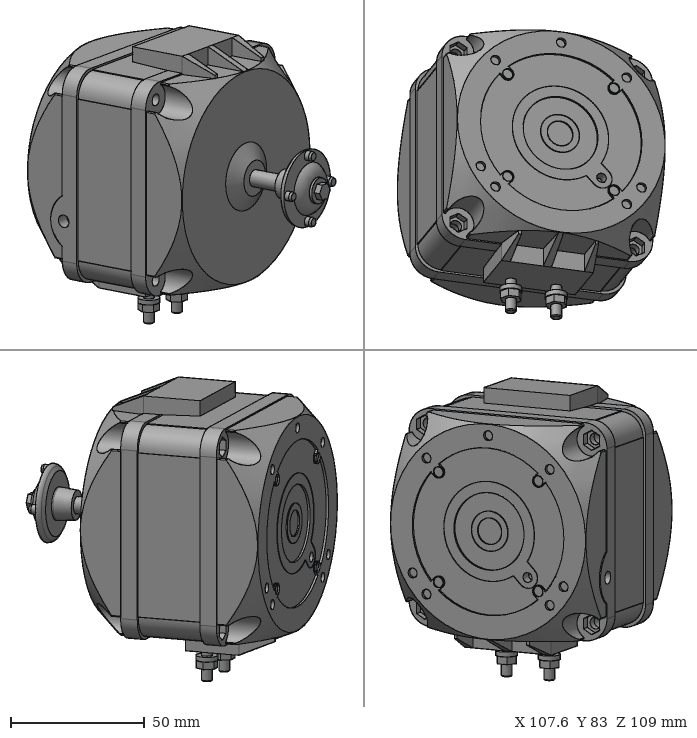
import cadquery as cq
import math


motor_length = 71.3
cap_half = 41.0
flange_half = 83.0 / 2
flange_corner_radius = 9.2
flange_start = 16.5
flange_width = 6.6
cap_length = flange_start + flange_width
stator_half = 40.8
stator_corner_step = 0.3
stator_flat_half = 31.4
end_face_radius = 40.9
bevel_slope = 0.86
overlap = 1.1

bolt_offset = 35.0
bolt_hole_radius = 4.5 / 2
scallop_radius = 12.1 / 2
corner_relief_start = 31.9
corner_relief_chamfer = 0.4
nut_pocket_flats = 6.6
nut_pocket_depth = 3.3

cover_half_width = 18.1
cover_height = 48.1
cover_tip_height = 42.2
rear_cover_length = 21.6
front_cover_length = 22.8
rear_outer_rib_inside = 14.6
rear_middle_rib_root = 1.6
rear_middle_rib_tip = 1.0
front_outer_rib_inside = 14.0
front_middle_rib = 1.5
outer_rib_end = 3.2
outer_rib_end_half = 15.7

stud_x = 32.9
stud_offset = 8.9
stud_radius = 2.1
stud_chamfer = 0.4
stud_tip = 60.9
washer_top = 51.1
nut_top = 53.0
nut_bottom = 55.9
washer_radius = 4.1
nut_flats = 7.1

relief_radius = 63.5 / 2
relief_depth = 1.0
tongue_offset = 20.9
tongue_radius = 2.3
first_tongue_angle = 45
tongue_hole_radius = 4.0 / 2
tongue_hole_depth = 0.7
bearing_pad_radius = 19.0
bearing_pad_depth = 0.8
bearing_recess_radius = 14.7
bearing_recess_depth = 1.6
hub_pad_radius = 7.6
hub_pad_depth = 1.2
hub_recess_radius = 5.0
hub_recess_depth = 1.7
cable_lobe_offset = 16.1
cable_lobe_radius = 4.1
cable_lobe_angle = 225
cable_hole_radius = 1.9
cable_hole_depth = 5.5
face_hole_circle = 36.5
face_hole_radius = 1.9
face_hole_depth = 1.3
face_hole_angles = (-30, 45, 90, 135, 210, 225, 315)

boss_x = 22.9
boss_z = -16.8
boss_radius = 11.8
boss_hole_x = 17.1
boss_hole_radius = 2.4
boss_hole_depth = 5.5

nose_length = 3.9
nose_base_radius = 13.1
nose_tip_radius = 6.9
shaft_radius = 3.3
hub_start = 88.6
hub_end = 95.7
hub_start_radius = 5.7
hub_end_radius = 6.3
disc_start = 96.2
disc_end = 99.4
disc_radius = 14.9
disc_back_radius = 12.4
disc_bevel_end = (97.3, 14.1)
disc_rounding_mid = (98.2, 14.7)
pin_circle = 12.8
pin_radius = 1.9
pin_length = 2.9
pin_chamfer_length = 1.0
pin_chamfer_depth = 0.3
screw_radius = 1.7
dome_start = 100.6
dome_end = 104.0
dome_radius = 10.1
dome_tip_radius = 5.2
dome_mid = (102.9, 8.3)
screw_washer_radius = 9.9 / 2
screw_washer_end = 105.1
screw_head_end = 107.6
screw_head_flats = 5.9


def cylinder_x(start, length, radius, y=0.0, z=0.0):
    """Cylinder along +X."""
    return cq.Workplane("YZ", origin=(start, y, z)).circle(radius).extrude(length)


def square_bar(start, length, half):
    """Square bar along +X, centred on the shaft axis."""
    return cq.Workplane("YZ", origin=(start, 0, 0)).rect(2 * half, 2 * half).extrude(length)


def hexagon_diameter(flats):
    return flats / math.cos(math.pi / 6)


def slot_from_axis(start, length, radius, near, far, angle):
    """Round-ended slot along +X, radial in the YZ plane, reaching from near to far."""
    middle = (near + far) / 2
    slot = cq.Workplane("YZ", origin=(start, 0, 0)).center(middle, 0)
    slot = slot.slot2D(far - near + 2 * radius, 2 * radius).extrude(length)
    return slot.rotate((0, 0, 0), (1, 0, 0), angle)


def corner_points(offset):
    return [(y, z) for y in (-offset, offset) for z in (-offset, offset)]


def bevel_cone():
    """Solid of revolution whose conical side bevels the corners of a cap."""
    reach = cap_length + overlap
    outline = [(0, 0), (0, end_face_radius), (reach, end_face_radius + bevel_slope * reach), (reach, 0)]
    return cq.Workplane("XY").polyline(outline).close().revolve(360, (0, 0, 0), (1, 0, 0))


def cover(length, outer_rib_inside, middle_rib_root, middle_rib_tip):
    """Terminal cover under the -Z side of the rear cap, with three ribs sloping to the end face."""
    shell = (
        cq.Workplane("XZ", origin=(0, cover_half_width, 0))
        .moveTo(flange_start, -cover_height)
        .lineTo(flange_start + length, -cover_height)
        .lineTo(flange_start + length, -cover_tip_height)
        .lineTo(cap_length, -flange_half)
        .lineTo(cap_length, -cap_half + overlap)
        .lineTo(flange_start, -cap_half + overlap)
        .close()
        .extrude(2 * cover_half_width)
    )
    wedge = (
        cq.Workplane("XZ", origin=(0, cover_half_width, 0))
        .polyline([(0, -cap_half), (flange_start, -cap_half), (flange_start, -cover_height)])
        .close()
        .extrude(2 * cover_half_width)
    )
    middle_plan = [
        (0, -middle_rib_tip),
        (flange_start, -middle_rib_root),
        (flange_start, middle_rib_root),
        (0, middle_rib_tip),
    ]
    outer_plan = [
        (flange_start, cover_half_width),
        (flange_start, outer_rib_inside),
        (outer_rib_end, outer_rib_inside),
        (outer_rib_end, outer_rib_end_half),
    ]
    mirrored_plan = [(x, -y) for x, y in outer_plan]
    for plan in (middle_plan, outer_plan, mirrored_plan):
        column = cq.Workplane("XY", origin=(0, 0, -cover_height)).polyline(plan).close().extrude(cover_height)
        shell = shell.union(column.intersect(wedge))
    return shell


def corner_relief():
    """Cutter for the +Y +Z corner of a cap, chamfering the two edges it leaves."""
    wide = corner_relief_start - corner_relief_chamfer
    chamfer_start = cap_half - corner_relief_chamfer
    outline = [
        (corner_relief_start, corner_relief_start),
        (chamfer_start, corner_relief_start),
        (cap_half, wide),
        (flange_half, wide),
        (flange_half, flange_half),
        (wide, flange_half),
        (wide, cap_half),
        (corner_relief_start, chamfer_start),
    ]
    return cq.Workplane("YZ").polyline(outline).close().extrude(flange_start)


def cap_frame():
    """Bevelled square cap with its flange, in the place of the rear cap."""
    body = square_bar(0, flange_start, cap_half).intersect(bevel_cone())
    for y, z in corner_points(bolt_offset):
        body = body.cut(cylinder_x(0, flange_start, scallop_radius, y, z))
    for quadrant in range(4):
        body = body.cut(corner_relief().rotate((0, 0, 0), (1, 0, 0), 90 * quadrant))
    flange = square_bar(flange_start, flange_width, flange_half).edges("|X").fillet(flange_corner_radius)
    return body.union(flange)


def cut_bolt_holes(body):
    for y, z in corner_points(bolt_offset):
        body = body.cut(cylinder_x(0, motor_length, bolt_hole_radius, y, z))
    return body


def rear_face_details(body):
    """Shallow reliefs, raised pads and screw holes of the rear face."""
    relief = cylinder_x(0, relief_depth, relief_radius)
    tongue_reach = tongue_offset * math.sqrt(2)
    tongue_end = relief_radius + tongue_radius
    for quadrant in range(4):
        angle = first_tongue_angle + 90 * quadrant
        tongue = slot_from_axis(0, relief_depth, tongue_radius, tongue_reach, tongue_end, angle)
        relief = relief.cut(tongue)
    lobe_reach = cable_lobe_offset * math.sqrt(2)
    pad_height = relief_depth - bearing_pad_depth
    pad = cylinder_x(bearing_pad_depth, pad_height, bearing_pad_radius)
    lobe = slot_from_axis(bearing_pad_depth, pad_height, cable_lobe_radius, 0, lobe_reach, cable_lobe_angle)
    body = body.cut(relief.cut(pad.union(lobe)))

    recess = cylinder_x(0, bearing_recess_depth, bearing_recess_radius)
    hub_pad = cylinder_x(hub_pad_depth, bearing_recess_depth - hub_pad_depth, hub_pad_radius)
    body = body.cut(recess.cut(hub_pad)).cut(cylinder_x(0, hub_recess_depth, hub_recess_radius))

    for y, z in corner_points(tongue_offset):
        body = body.cut(cylinder_x(0, tongue_hole_depth, tongue_hole_radius, y, z))
    for angle in face_hole_angles:
        y = face_hole_circle * math.cos(math.radians(angle))
        z = face_hole_circle * math.sin(math.radians(angle))
        body = body.cut(cylinder_x(0, face_hole_depth, face_hole_radius, y, z))
    return body.cut(
        cylinder_x(0, cable_hole_depth, cable_hole_radius, -cable_lobe_offset, -cable_lobe_offset)
    )


def earthing_boss(body):
    """Round pad beside the rear flange, flush with it, with a blind hole."""
    pad = (
        cq.Workplane("XZ", origin=(boss_x, -cap_half + overlap, boss_z))
        .circle(boss_radius)
        .extrude(flange_half - cap_half + overlap)
    )
    rear_side = cq.Workplane("XY").box(boss_x, 2 * flange_half, 2 * flange_half, centered=(False, True, True))
    hole = (
        cq.Workplane("XZ", origin=(boss_hole_x, -flange_half + boss_hole_depth, boss_z))
        .circle(boss_hole_radius)
        .extrude(boss_hole_depth)
    )
    return body.union(pad.intersect(rear_side)).cut(hole)


def stud(y):
    """Terminal stud with its washer and nut, hanging from the rear cover."""

    def level(height):
        return cq.Workplane("XY", origin=(stud_x, y, -height))

    rod = level(stud_tip).circle(stud_radius).extrude(stud_tip - cover_height)
    rod = rod.faces("<Z").chamfer(stud_chamfer)
    washer = level(nut_top).circle(washer_radius).extrude(nut_top - washer_top)
    nut = level(nut_bottom).transformed(rotate=(0, 0, 90))
    nut = nut.polygon(6, hexagon_diameter(nut_flats)).extrude(nut_bottom - nut_top)
    return rod.union(washer).union(nut)


def make_rear_cap():
    """Rear cap with its cover, studs, earthing boss and nut pockets."""
    rear_cover = cover(rear_cover_length, rear_outer_rib_inside, rear_middle_rib_root, rear_middle_rib_tip)
    body = cap_frame().union(rear_cover)
    body = earthing_boss(rear_face_details(body))
    for y in (-stud_offset, stud_offset):
        body = body.union(stud(y))
    for y, z in corner_points(bolt_offset):
        pocket = cq.Workplane("YZ", origin=(flange_start, y, z)).transformed(rotate=(0, 0, 90))
        body = body.cut(pocket.polygon(6, hexagon_diameter(nut_pocket_flats)).extrude(nut_pocket_depth))
    return cut_bolt_holes(body)


def make_stator():
    """Stator stack: a bar with rounded corners and a slightly raised flat on each long side."""
    length = motor_length - 2 * cap_length
    corner_half = stator_half - stator_corner_step
    core = square_bar(cap_length, length, corner_half).edges("|X").fillet(corner_half - stator_flat_half)
    plane = cq.Workplane("YZ", origin=(cap_length, 0, 0))
    core = core.union(plane.rect(2 * stator_flat_half, 2 * stator_half).extrude(length))
    core = core.union(plane.rect(2 * stator_half, 2 * stator_flat_half).extrude(length))
    return cut_bolt_holes(core)


def drive_shaft():
    """Nose, shaft, hub, driving disc and the domed washer held by the end screw."""
    turned = (
        cq.Workplane("XY")
        .moveTo(motor_length, 0)
        .lineTo(motor_length, nose_base_radius)
        .lineTo(motor_length + nose_length, nose_tip_radius)
        .lineTo(motor_length + nose_length, shaft_radius)
        .lineTo(hub_start, shaft_radius)
        .lineTo(hub_start, hub_start_radius)
        .lineTo(hub_end, hub_end_radius)
        .lineTo(disc_start, hub_end_radius)
        .lineTo(disc_start, disc_back_radius)
        .lineTo(*disc_bevel_end)
        .threePointArc(disc_rounding_mid, (disc_end, disc_radius))
        .lineTo(disc_end, screw_radius)
        .lineTo(dome_start, screw_radius)
        .lineTo(dome_start, dome_radius)
        .threePointArc(dome_mid, (dome_end, dome_tip_radius))
        .lineTo(dome_end, screw_washer_radius)
        .lineTo(screw_washer_end, screw_washer_radius)
        .lineTo(screw_washer_end, 0)
        .close()
        .revolve(360, (0, 0, 0), (1, 0, 0))
    )
    head = cq.Workplane("YZ", origin=(screw_washer_end, 0, 0))
    head = head.polygon(6, hexagon_diameter(screw_head_flats)).extrude(screw_head_end - screw_washer_end)
    turned = turned.union(head)
    for y, z in ((pin_circle, 0), (0, pin_circle), (-pin_circle, 0), (0, -pin_circle)):
        pin = cylinder_x(disc_end, pin_length, pin_radius, y, z)
        turned = turned.union(pin.faces(">X").chamfer(pin_chamfer_length, pin_chamfer_depth))
    return turned


def make_front_cap():
    """Front cap: the rear cap's frame turned half round about Y, with the drive shaft."""
    front_cover = cover(front_cover_length, front_outer_rib_inside, front_middle_rib, front_middle_rib)
    body = cap_frame().union(front_cover)
    middle = motor_length / 2
    body = body.rotate((middle, 0, 0), (middle, 1, 0), 180)
    return cut_bolt_holes(body.union(drive_shaft()))


rear_cap = make_rear_cap()
stator = make_stator()
front_cap = make_front_cap()

result = cq.Compound.makeCompound([rear_cap.val(), stator.val(), front_cap.val()])